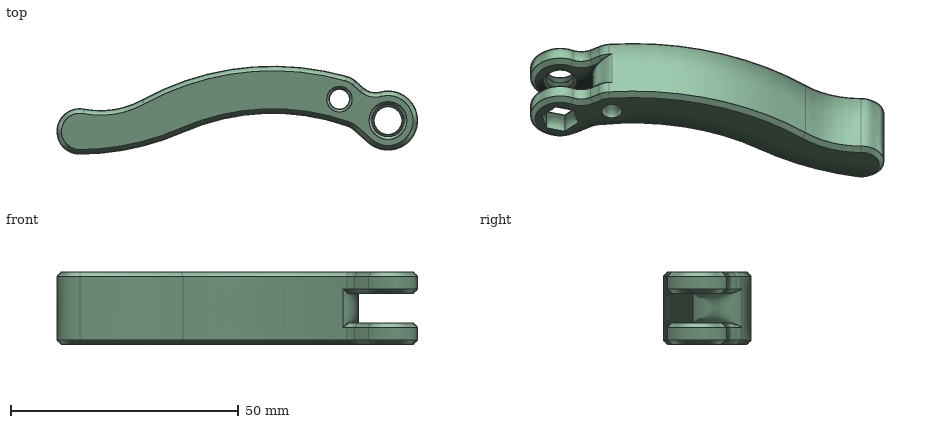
import cadquery as cq
import math

height = 16.0
edge_chamfer = 1.0
hole_chamfer = 0.6
flare_angle = 45.0

crest_center = (-25.3, -47.4)
crest_outer_radius = 59.35
crest_inner_radius = 49.0
tip_center = (-67.78, -2.39)
tip_radius = 5.0
upper_bend_radius = 19.0
lower_bend_radius = 57.0

eye_radius = 6.5
neck_width = 8.25
neck_angle = -41.5
shoulder_radius = 5.0
neck_fillet_radius = 4.0

lug_thickness = 4.8
fork_gap = height - 2 * lug_thickness
fork_root_center = (-12.55, 4.53)
fork_root_radius = 6.05

counterbore_diameter = 7.1
counterbore_depth = 2.5
pivot_hole_diameter = 6.1
nut_corner_diameter = 8.3
nut_rotation = 5.0
side_hole_diameter = 4.4
side_hole_position = (-10.67, 4.69)


def point_towards(start, target, distance):
    """Point at a distance from start, along the ray to target."""
    dx = target[0] - start[0]
    dy = target[1] - start[1]
    scale = distance / math.hypot(dx, dy)
    return (start[0] + dx * scale, start[1] + dy * scale)


def circle_intersection(center_a, radius_a, center_b, radius_b):
    """Crossing of two circles that lies to the left of the direction from a to b."""
    dx = center_b[0] - center_a[0]
    dy = center_b[1] - center_a[1]
    spacing = math.hypot(dx, dy)
    along = (spacing**2 + radius_a**2 - radius_b**2) / (2 * spacing)
    across = math.sqrt(radius_a**2 - along**2)
    return (
        center_a[0] + (along * dx - across * dy) / spacing,
        center_a[1] + (along * dy + across * dx) / spacing,
    )


def neck_line_point(along, offset):
    """Point on the line parallel to the neck at a sideways offset from the pivot."""
    angle = math.radians(neck_angle)
    return (
        along * math.cos(angle) - offset * math.sin(angle),
        along * math.sin(angle) + offset * math.cos(angle),
    )


def neck_start(crest_radius, offset):
    """Corner where a crest circle runs into the neck line at a sideways offset."""
    angle = math.radians(neck_angle)
    crest_along = crest_center[0] * math.cos(angle) + crest_center[1] * math.sin(angle)
    crest_offset = crest_center[1] * math.cos(angle) - crest_center[0] * math.sin(angle)
    half_chord = math.sqrt(crest_radius**2 - (offset - crest_offset) ** 2)
    return neck_line_point(crest_along - half_chord, offset)


def circle_mid(center, radius, start, end):
    """Middle of the shorter circle arc between start and end."""
    chord_middle = ((start[0] + end[0]) / 2, (start[1] + end[1]) / 2)
    return point_towards(center, chord_middle, radius)


lower_neck_offset = -eye_radius
upper_neck_offset = neck_width - eye_radius
upper_shoulder = neck_start(crest_outer_radius, upper_neck_offset)
lower_shoulder = neck_start(crest_inner_radius, lower_neck_offset)
upper_neck_end = neck_line_point(-math.sqrt(eye_radius**2 - upper_neck_offset**2), upper_neck_offset)


def make_profile(thickness):
    """Lever outline, centred on Z = 0, with both flat faces chamfered all round."""
    upper_bend_center = circle_intersection(
        tip_center, tip_radius + upper_bend_radius,
        crest_center, crest_outer_radius + upper_bend_radius,
    )
    lower_bend_center = circle_intersection(
        tip_center, lower_bend_radius - tip_radius,
        crest_center, crest_inner_radius + lower_bend_radius,
    )
    upper_inflection = point_towards(crest_center, upper_bend_center, crest_outer_radius)
    lower_inflection = point_towards(crest_center, lower_bend_center, crest_inner_radius)
    tip_top = point_towards(tip_center, upper_bend_center, tip_radius)
    tip_bottom = point_towards(lower_bend_center, tip_center, lower_bend_radius)
    tip_end = (tip_center[0] - tip_radius, tip_center[1])

    eye_end = neck_line_point(eye_radius, 0)

    profile = (
        cq.Workplane("XY", origin=(0, 0, -thickness / 2))
        .moveTo(*upper_shoulder)
        .threePointArc(
            circle_mid(crest_center, crest_outer_radius, upper_shoulder, upper_inflection),
            upper_inflection,
        )
        .threePointArc(
            circle_mid(upper_bend_center, upper_bend_radius, upper_inflection, tip_top),
            tip_top,
        )
        .threePointArc(tip_end, tip_bottom)
        .threePointArc(
            circle_mid(lower_bend_center, lower_bend_radius, tip_bottom, lower_inflection),
            lower_inflection,
        )
        .threePointArc(
            circle_mid(crest_center, crest_inner_radius, lower_inflection, lower_shoulder),
            lower_shoulder,
        )
        .lineTo(*neck_line_point(0, lower_neck_offset))
        .threePointArc(eye_end, upper_neck_end)
        .close()
        .extrude(thickness)
    )
    for corner, radius in (
        (upper_shoulder, shoulder_radius),
        (lower_shoulder, shoulder_radius),
        (upper_neck_end, neck_fillet_radius),
    ):
        nearest = cq.selectors.NearestToPointSelector((corner[0], corner[1], 0))
        profile = profile.edges("|Z").edges(nearest).fillet(radius)
    return profile.faces("|Z").edges().chamfer(edge_chamfer)


def make_fork_space(thickness):
    """Region from the rounded fork root to beyond the eye, centred on Z = 0."""
    length = 2 * (eye_radius - fork_root_center[0])
    space = cq.Workplane("XY").box(length, length, thickness, centered=(False, True, True))
    root = cq.Workplane("XY").circle(fork_root_radius).extrude(thickness / 2, both=True)
    return space.cut(root).translate((*fork_root_center, 0))


def make_fork_lugs():
    """Two lugs chamfered on both faces, running from the fork root around the pivot."""
    lug = make_profile(lug_thickness).intersect(make_fork_space(lug_thickness))
    lift = (fork_gap + lug_thickness) / 2
    return lug.translate((0, 0, lift)).union(lug.translate((0, 0, -lift)))


def countersunk_cutter(diameter, depth):
    """Cutter reaching down from the top face, with a tapered flare at its mouth."""
    top = cq.Workplane("XY", origin=(0, 0, height / 2))
    bore = top.circle(diameter / 2).extrude(-depth)
    flare = top.circle(diameter / 2 + hole_chamfer).extrude(-hole_chamfer, taper=flare_angle)
    return bore.union(flare)


def cut_pivot_holes(body):
    """Stepped pivot hole in the upper lug and a hexagonal nut hole in the lower lug."""
    counterbore = countersunk_cutter(counterbore_diameter, counterbore_depth)
    pivot_hole = (
        countersunk_cutter(pivot_hole_diameter, lug_thickness)
        .rotate((0, 0, 0), (1, 0, 0), 180)
        .translate((0, 0, height / 2 + fork_gap / 2))
    )
    nut_hole = (
        cq.Workplane("XY")
        .polygon(6, nut_corner_diameter)
        .extrude(-height / 2)
        .rotate((0, 0, 0), (0, 0, 1), nut_rotation)
    )
    return body.cut(counterbore).cut(pivot_hole).cut(nut_hole)


def cut_side_hole(body):
    """Through hole beside the fork, countersunk at the top."""
    cutter = countersunk_cutter(side_hole_diameter, height)
    return body.cut(cutter.translate((*side_hole_position, 0)))


lever = make_profile(height).cut(make_fork_space(height)).union(make_fork_lugs())
lever = cut_pivot_holes(lever)
result = cut_side_hole(lever)